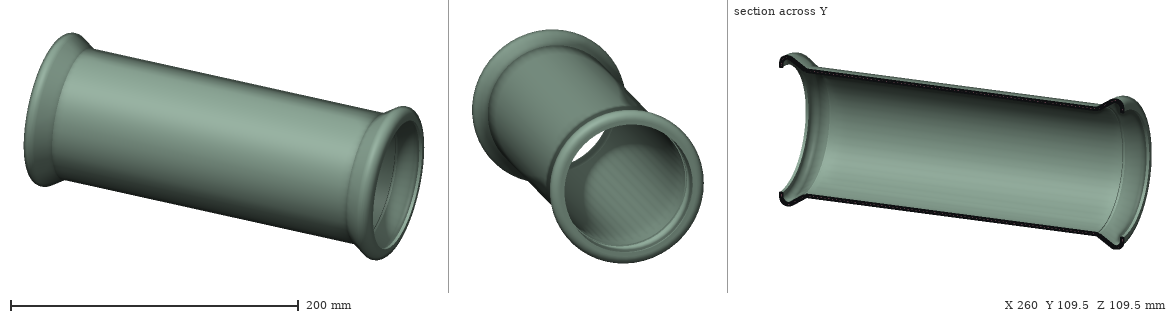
import cadquery as cq
import math

length = 260.0
lip_diameter = 109.5
tube_diameter = 93.5
bore_diameter = 89.5
mouth_diameter = 91.5
stop_diameter = 91.0
stop_depth = 19.8
bead_radius = 6.0
flare_angle = math.radians(33)

lip_radius = lip_diameter / 2
tube_radius = tube_diameter / 2
bore_radius = bore_diameter / 2
mouth_radius = mouth_diameter / 2
stop_radius = stop_diameter / 2
half_length = length / 2

bead_centre_radius = lip_radius - bead_radius
bead_centre_x = half_length - bead_radius


def bead_point(angle, radius=bead_radius):
    """Point on a bead circle of the given radius; the angle runs from the crest toward mid-length."""
    x = bead_centre_x - radius * math.sin(angle)
    r = bead_centre_radius + radius * math.cos(angle)
    return x, r


def mirrored(point):
    """Matching point at the opposite end of the tube."""
    x, r = point
    return -x, r


flare_start = bead_point(flare_angle)
flare_end_x = flare_start[0] - (flare_start[1] - tube_radius) / math.tan(flare_angle)

wall = tube_radius - bore_radius
hollow_radius = bead_radius - wall
hollow_start = bead_point(flare_angle, hollow_radius)
hollow_end_x = hollow_start[0] - (hollow_start[1] - stop_radius) / math.tan(flare_angle)
lip_inner_x = half_length - wall
stop_x = half_length - stop_depth

wall_section = (
    cq.Workplane("XY")
    .moveTo(-flare_end_x, tube_radius)
    .lineTo(flare_end_x, tube_radius)
    .lineTo(*flare_start)
    .threePointArc(bead_point(0), (half_length, bead_centre_radius))
    .lineTo(half_length, mouth_radius)
    .lineTo(lip_inner_x, mouth_radius)
    .lineTo(lip_inner_x, bead_centre_radius)
    .threePointArc(bead_point(0, hollow_radius), hollow_start)
    .lineTo(hollow_end_x, stop_radius)
    .lineTo(stop_x, stop_radius)
    .lineTo(stop_x, bore_radius)
    .lineTo(-stop_x, bore_radius)
    .lineTo(-stop_x, stop_radius)
    .lineTo(-hollow_end_x, stop_radius)
    .lineTo(*mirrored(hollow_start))
    .threePointArc(mirrored(bead_point(0, hollow_radius)), (-lip_inner_x, bead_centre_radius))
    .lineTo(-lip_inner_x, mouth_radius)
    .lineTo(-half_length, mouth_radius)
    .lineTo(-half_length, bead_centre_radius)
    .threePointArc(mirrored(bead_point(0)), mirrored(flare_start))
    .close()
)
result = wall_section.revolve(360, (0, 0, 0), (1, 0, 0))